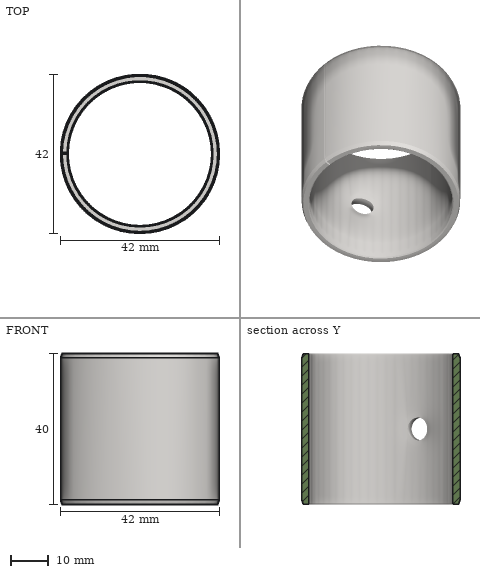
import cadquery as cq
import math

outer_diameter = 42
wall = 2.0
length = 40.0
chamfer_height = 1.2
chamfer_angle = 20
inner_chamfer = 0.3
slit_width = 0.38
oil_hole_diameter = 6.0
oil_hole_angle = 59

outer_radius = outer_diameter / 2
inner_radius = outer_radius - wall
chamfer_depth = chamfer_height * math.tan(math.radians(chamfer_angle))
half_length = length / 2


def bushing_wall():
    """Revolve the wall section, with chamfered edges at both ends, about Z."""
    end_inner_radius = inner_radius + inner_chamfer
    end_outer_radius = outer_radius - chamfer_depth
    section = (
        cq.Workplane("XZ")
        .moveTo(inner_radius, inner_chamfer - half_length)
        .lineTo(inner_radius, half_length - inner_chamfer)
        .lineTo(end_inner_radius, half_length)
        .lineTo(end_outer_radius, half_length)
        .lineTo(outer_radius, half_length - chamfer_height)
        .lineTo(outer_radius, chamfer_height - half_length)
        .lineTo(end_outer_radius, -half_length)
        .lineTo(end_inner_radius, -half_length)
        .close()
    )
    return section.revolve(360, (0, 0, 0), (0, 1, 0))


def slit():
    """Narrow full-length gap on the -X side, from the XZ plane toward +Y."""
    return (
        cq.Workplane("XY")
        .box(outer_radius, slit_width, length, centered=(False, False, True))
        .translate((-outer_radius, 0, 0))
    )


def oil_hole():
    """Radial hole through one side of the wall at mid-length."""
    return (
        cq.Workplane("YZ")
        .circle(oil_hole_diameter / 2)
        .extrude(outer_radius)
        .rotate((0, 0, 0), (0, 0, 1), oil_hole_angle)
    )


result = bushing_wall().cut(slit()).cut(oil_hole())